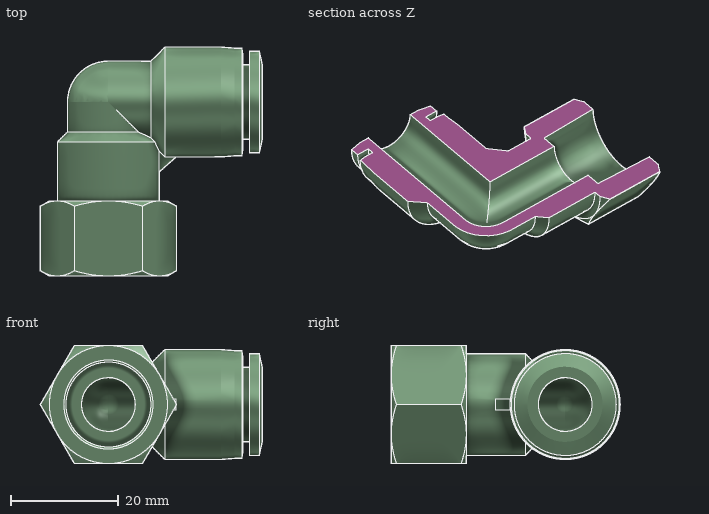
import cadquery as cq
import math


elbow_radius = 7.65
bore_radius = 5.0

hex_across_flats = 22.0
hex_length = 14.0
hex_end = 32.4
hex_start = hex_end - hex_length
hex_chamfer_angle = 30.0
hex_sides = 6
shank_radius = 9.5
shank_cone_start = 5.6
shank_start = 7.4
thread_mouth_radius = 8.3
thread_floor_radius = 7.92
thread_depth = 12.0

socket_radius = 10.25
socket_cone_start = 7.9
socket_start = socket_cone_start + socket_radius - elbow_radius
cap_taper_start = 21.05
cap_taper_end = 23.55
cap_taper_radius = 10.05
cap_edge_start = 24.85
cap_end = 25.05
cap_end_radius = 8.8
neck_radius = 6.95
collar_radius = 9.5
collar_start = 26.25
collar_edge_start = 28.1
collar_end = 28.65
collar_end_radius = 7.0

web_thickness = 2.0
web_reach_x = 12.6
web_reach_y = 13.0


def revolve_profile(stations):
    """Solid of revolution about X, starting at x = 0, from (x, radius) stations."""
    end_x = stations[-1][0]
    outline = [(0, 0)] + stations + [(end_x, 0)]
    return cq.Workplane("XY").polyline(outline).close().revolve(360, (0, 0, 0), (1, 0, 0))


def along_minus_y(body):
    """Turn a body built along +X so that it runs along -Y."""
    return body.rotate((0, 0, 0), (0, 0, 1), -90)


def make_shank():
    return along_minus_y(revolve_profile([
        (0, elbow_radius),
        (shank_cone_start, elbow_radius),
        (shank_start, shank_radius),
        (hex_end, shank_radius),
    ]))


def make_hex():
    """Hexagon with corners on +-X, both ends chamfered down to the across-flats circle."""
    flat_radius = hex_across_flats / 2
    corner_radius = flat_radius / math.cos(math.pi / hex_sides)
    chamfer_depth = (corner_radius - flat_radius) * math.tan(math.radians(hex_chamfer_angle))
    prism = (
        cq.Workplane("XZ", origin=(0, -hex_start, 0))
        .polygon(hex_sides, 2 * corner_radius)
        .extrude(hex_length)
    )
    envelope = along_minus_y(
        revolve_profile([
            (0, flat_radius),
            (chamfer_depth, corner_radius),
            (hex_length - chamfer_depth, corner_radius),
            (hex_length, flat_radius),
        ]).translate((hex_start, 0, 0))
    )
    return prism.intersect(envelope)


def make_tube_branch():
    """Socket, tapered cap, neck and release collar."""
    return revolve_profile([
        (0, elbow_radius),
        (socket_cone_start, elbow_radius),
        (socket_start, socket_radius),
        (cap_taper_start, socket_radius),
        (cap_taper_end, cap_taper_radius),
        (cap_edge_start, cap_taper_radius),
        (cap_end, cap_end_radius),
        (cap_end, neck_radius),
        (collar_start, neck_radius),
        (collar_start, collar_radius),
        (collar_edge_start, collar_radius),
        (collar_end, collar_end_radius),
    ])


def make_web():
    """Thin plate between the two branches, with a sloping outer edge."""
    outline = [
        (0, 0),
        (web_reach_x, 0),
        (web_reach_x, -socket_radius),
        (shank_radius, -web_reach_y),
        (0, -web_reach_y),
    ]
    return cq.Workplane("XY").polyline(outline).close().extrude(web_thickness / 2, both=True)


def make_bore():
    """Round passage turning the corner, with the tapered thread bore at its -Y mouth."""
    tube_bore = revolve_profile([(0, bore_radius), (collar_end, bore_radius)])
    shank_bore = along_minus_y(revolve_profile([(0, bore_radius), (hex_end, bore_radius)]))
    thread_bore = along_minus_y(
        revolve_profile([(0, thread_floor_radius), (thread_depth, thread_mouth_radius)])
        .translate((hex_end - thread_depth, 0, 0))
    )
    corner = cq.Workplane("XY").sphere(bore_radius)
    return corner.union(tube_bore).union(shank_bore).union(thread_bore)


body = cq.Workplane("XY").sphere(elbow_radius)
for section in (make_shank(), make_hex(), make_tube_branch(), make_web()):
    body = body.union(section)

result = body.cut(make_bore())